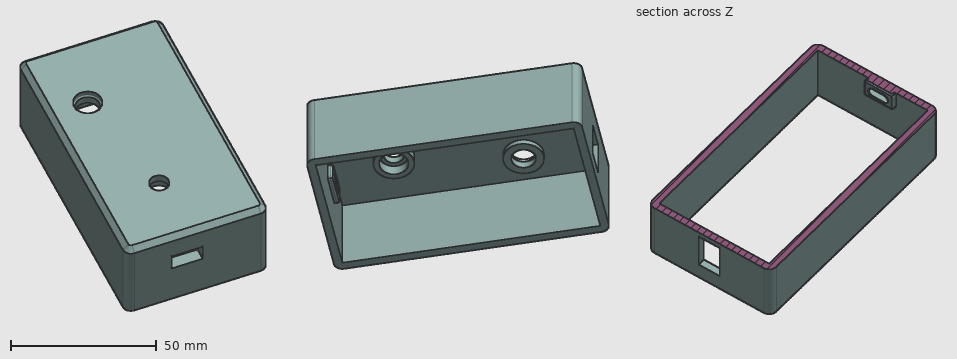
import cadquery as cq

length = 96.25
width = 53.0
height = 31.5
wall = 3.0
corner_radius = 3.0
top_chamfer = 2.0

slot_width = 8.95
slot_height = 14.0
slot_bottom = 6.4

seat_x = -20.6
seat_y = -11.9
seat_radius = 5.0
seat_depth = 2.0
seat_fillet = 0.5
seat_bore_radius = 4.2
seat_boss_depth = 5.0

tube_x = 23.2
tube_y = -3.8
tube_hole_radius = 3.5
tube_bore_radius = 5.0
tube_length = 4.0

ring_wall = 2.0

port_y = tube_y
port_z = 18.7
port_width = 8.5
port_height = 3.85
recess_width = 11.55
recess_height = 6.2
recess_floor = 0.4
housing_side_wall = 0.6
housing_depth = 2.0
housing_fillet = 1.2


def cylinder_down(x, y, top, radius, depth):
    """Vertical cylinder whose upper face is at the height `top`."""
    return cq.Workplane("XY", origin=(x, y, top - depth)).circle(radius).extrude(depth)


def case_shell():
    outer = cq.Workplane("XY").box(length, width, height, centered=(True, True, False))
    outer = outer.edges("|Z").fillet(corner_radius).faces(">Z").edges().chamfer(top_chamfer)
    cavity = cq.Workplane("XY").box(
        length - 2 * wall, width - 2 * wall, height - wall, centered=(True, True, False)
    )
    return outer.cut(cavity)


def slot():
    corner = cq.Vector(-length / 2, -slot_width / 2, slot_bottom)
    return cq.Workplane(cq.Solid.makeBox(wall, slot_width, slot_height, corner))


def seat_boss():
    radius = seat_radius + ring_wall
    return cylinder_down(seat_x, seat_y, height - wall, radius, seat_boss_depth - wall)


def seat_hole():
    seat = cylinder_down(seat_x, seat_y, height, seat_radius, seat_depth)
    seat = seat.faces("<Z").edges().fillet(seat_fillet)
    bore = cylinder_down(seat_x, seat_y, height, seat_bore_radius, seat_boss_depth)
    return seat.union(bore)


def tube():
    radius = tube_bore_radius + ring_wall
    return cylinder_down(tube_x, tube_y, height - wall, radius, tube_length)


def tube_hole():
    hole = cylinder_down(tube_x, tube_y, height, tube_hole_radius, wall)
    bore = cylinder_down(tube_x, tube_y, height - wall, tube_bore_radius, tube_length)
    return hole.union(bore)


def port_plane(depth):
    """Plane facing +X, centred on the port, at a depth inward from the outer +X face."""
    return cq.Workplane("YZ", origin=(length / 2 - depth, port_y, port_z))


def port_housing():
    housing_width = recess_width + 2 * housing_side_wall
    housing_height = recess_height + 2 * housing_side_wall
    housing = port_plane(wall + housing_depth).rect(housing_width, housing_height)
    return housing.extrude(housing_depth).edges("|X or <X").fillet(housing_fillet)


def port():
    full_depth = wall + housing_depth
    recess_depth = full_depth - recess_floor
    opening = port_plane(full_depth).slot2D(port_width, port_height).extrude(full_depth)
    recess = port_plane(recess_depth).rect(recess_width, recess_height).extrude(recess_depth)
    return opening.union(recess)


result = case_shell().union(seat_boss()).union(tube()).union(port_housing())
result = result.cut(slot()).cut(seat_hole()).cut(tube_hole()).cut(port())